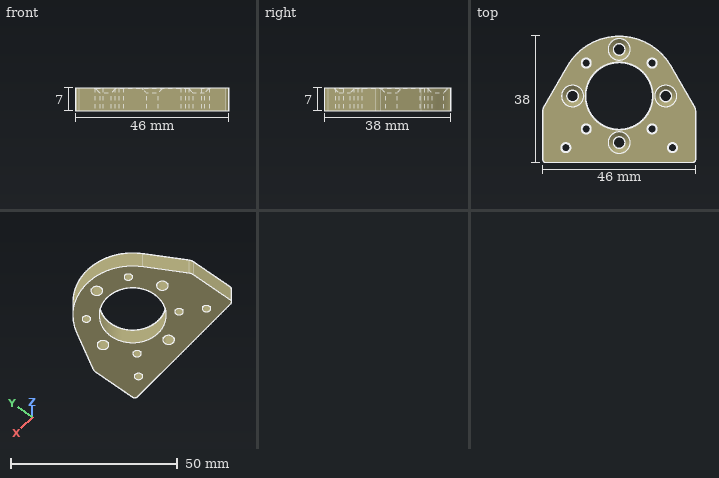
import cadquery as cq
import math

width = 46.0
thickness = 7.0
crown_radius = 18.0
base_distance = 20.0
flank_angle = math.radians(60)
base_corner_radius = 1.0
shoulder_radius = 3.0

bore_diameter = 20.0
bore_chamfer = 0.2

bolt_circle_radius = 14.0
screw_diameter = 3.4
countersink_diameter = 6.55
countersink_angle = 90
small_diameter = 2.45
small_chamfer = 0.28

base_hole_x = 16.0
base_hole_y = -15.5


def make_plate():
    """Rounded crown, tangent flanks, straight sides and base."""
    half_width = width / 2
    tangent_x = crown_radius * math.sin(flank_angle)
    tangent_y = crown_radius * math.cos(flank_angle)
    shoulder_y = tangent_y - (half_width - tangent_x) * math.tan(flank_angle)
    plate = (
        cq.Workplane("XY")
        .moveTo(-half_width, -base_distance)
        .lineTo(half_width, -base_distance)
        .lineTo(half_width, shoulder_y)
        .lineTo(tangent_x, tangent_y)
        .threePointArc((0, crown_radius), (-tangent_x, tangent_y))
        .lineTo(-half_width, shoulder_y)
        .close()
        .extrude(thickness)
    )
    for side in (-half_width, half_width):
        base_corner = cq.selectors.NearestToPointSelector((side, -base_distance, thickness / 2))
        shoulder = cq.selectors.NearestToPointSelector((side, shoulder_y, thickness / 2))
        plate = plate.edges("|Z").edges(base_corner).fillet(base_corner_radius)
        plate = plate.edges("|Z").edges(shoulder).fillet(shoulder_radius)
    return plate


def bolt_circle_points(start_angle):
    """Four equally spaced points on the bolt circle."""
    angles = [math.radians(start_angle + 90 * i) for i in range(4)]
    return [(bolt_circle_radius * math.cos(a), bolt_circle_radius * math.sin(a)) for a in angles]


def cut_chamfered_holes(body, points, diameter, chamfer):
    """Through holes with a 45 degree chamfer at the top face."""
    top = body.faces(">Z").workplane(origin=(0, 0, thickness))
    return top.pushPoints(points).cskHole(diameter, diameter + 2 * chamfer, 90)


result = make_plate()
result = cut_chamfered_holes(result, [(0, 0)], bore_diameter, bore_chamfer)

small_points = bolt_circle_points(45) + [(-base_hole_x, base_hole_y), (base_hole_x, base_hole_y)]
result = cut_chamfered_holes(result, small_points, small_diameter, small_chamfer)

result = (
    result.faces(">Z")
    .workplane(origin=(0, 0, thickness))
    .pushPoints(bolt_circle_points(0))
    .cskHole(screw_diameter, countersink_diameter, countersink_angle)
)